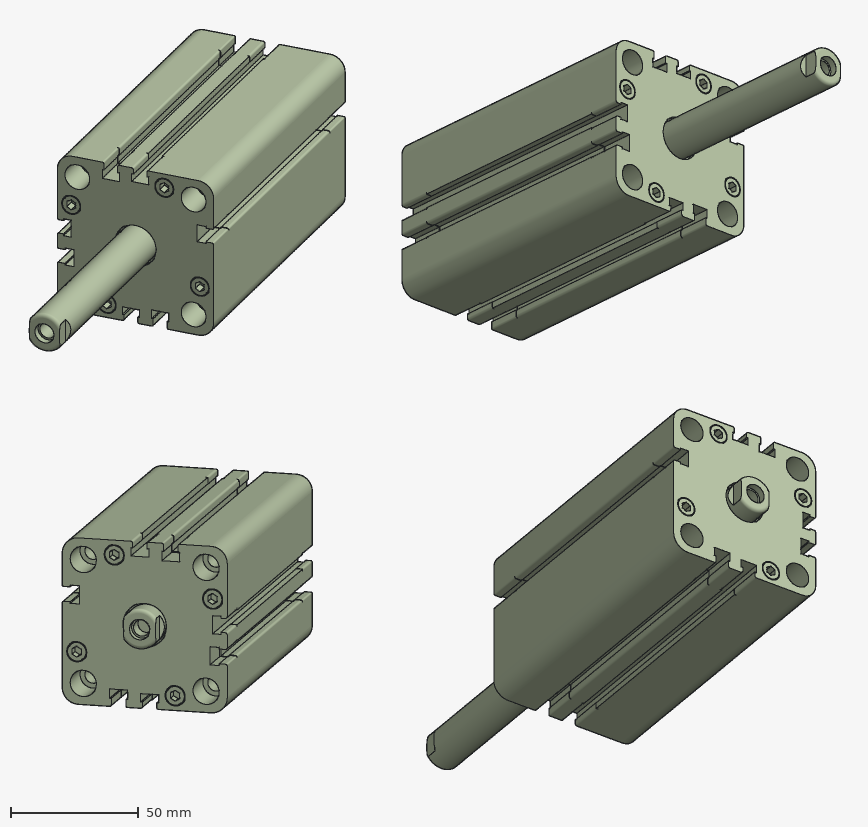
import cadquery as cq
import math

SIDE = 67.0
CORNER_RADIUS = 6.6
BODY_LENGTH = 126.0
CAP_LENGTH = 14.5
ROD_FRONT = 87.0
ROD_REAR = 7.5

ROD_DIAMETER = 16.0
ROD_END_RADIUS = 1.5
FLATS_WIDTH = 13.0
FLATS_LENGTH = 5.7
ROD_BORE_DIAMETER = 6.6
ROD_COUNTERBORE = 8.2
ROD_COUNTERBORE_DEPTH = 3.0
ROD_BORE_DEPTH = 17.6
DRILL_POINT_ANGLE = 118.0
BEARING_DIAMETER = 17.6
BEARING_DEPTH = 2.2

MOUNT_OFFSET = 25.0
MOUNT_DIAMETER = 6.6
MOUNT_COUNTERBORE = 10.5

SCREW_OFFSETS = (27.5, 12.3)
SCREW_RECESS_DIAMETER = 8.2
SCREW_HEAD_DIAMETER = 7.5
SCREW_GAP_DEPTH = 2.2
SCREW_HEX_WIDTH = 3.7
SCREW_HEX_DEPTH = 4.5

INNER_OFFSET = 2.0
INNER_DEPTH = 6.0
INNER_NECK_DEPTH = 2.6
OUTER_OFFSET = -10.5
SLOT_WIDTH = 7.3
INNER_CAP_SLOT = (INNER_OFFSET, 5.7, SLOT_WIDTH, INNER_DEPTH, INNER_NECK_DEPTH, 0.9)
INNER_TUBE_SLOT = (INNER_OFFSET, 6.0, SLOT_WIDTH, INNER_DEPTH, INNER_NECK_DEPTH, 0)
OUTER_CAP_SLOT = (OUTER_OFFSET, 6.0, SLOT_WIDTH, 7.0, 3.3, 0.7)
OUTER_TUBE_SLOT = (OUTER_OFFSET, 5.5, 6.8, 6.6, 3.0, 0.9)

HALF = SIDE / 2


def rod_along_y(diameter, start, end):
    """Solid cylinder on the Y axis between two Y positions."""
    return cq.Workplane("XZ", origin=(0, start, 0)).circle(diameter / 2).extrude(start - end)


def body_block():
    block = cq.Workplane("XZ").rect(SIDE, SIDE).extrude(-BODY_LENGTH)
    return block.edges("|Y").fillet(CORNER_RADIUS)


def rounded_mouth(half_neck, radius, offset, start, length):
    """Flare that rounds both lips where a slot neck meets the top face."""
    half_mouth = half_neck + radius
    arc_inset = radius * (1 - math.sqrt(0.5))
    return (
        cq.Workplane("XZ", origin=(offset, start, 0))
        .moveTo(-half_mouth, HALF)
        .threePointArc((-half_neck - arc_inset, HALF - arc_inset), (-half_neck, HALF - radius))
        .lineTo(half_neck, HALF - radius)
        .threePointArc((half_neck + arc_inset, HALF - arc_inset), (half_mouth, HALF))
        .close()
        .extrude(-length)
    )


def t_slot(slot, start, length, turn):
    """T-slot cutter for the top face, turned about Y to reach another side."""
    offset, neck_width, slot_width, depth, neck_depth, mouth_radius = slot
    half_neck = neck_width / 2
    half_slot = slot_width / 2
    neck_bottom = HALF - neck_depth
    floor = HALF - depth
    cutter = (
        cq.Workplane("XZ", origin=(offset, start, 0))
        .moveTo(-half_neck, HALF)
        .lineTo(-half_neck, neck_bottom)
        .lineTo(-half_slot, neck_bottom)
        .lineTo(-half_slot, floor)
        .lineTo(half_slot, floor)
        .lineTo(half_slot, neck_bottom)
        .lineTo(half_neck, neck_bottom)
        .lineTo(half_neck, HALF)
        .close()
        .extrude(-length)
    )
    if mouth_radius:
        cutter = cutter.union(rounded_mouth(half_neck, mouth_radius, offset, start, length))
    return cutter.rotate((0, 0, 0), (0, 1, 0), turn)


def cut_slots(body):
    slot_sets = [
        (OUTER_CAP_SLOT, OUTER_TUBE_SLOT, (0, 90, 180, 270)),
        (INNER_CAP_SLOT, INNER_TUBE_SLOT, (0, 180, 270)),
    ]
    rear_cap_start = BODY_LENGTH - CAP_LENGTH
    tube_length = BODY_LENGTH - 2 * CAP_LENGTH
    for cap_slot, tube_slot, turns in slot_sets:
        for turn in turns:
            body = body.cut(t_slot(cap_slot, 0, CAP_LENGTH, turn))
            body = body.cut(t_slot(tube_slot, CAP_LENGTH, tube_length, turn))
            body = body.cut(t_slot(cap_slot, rear_cap_start, CAP_LENGTH, turn))
    return body


def end_face(end):
    """Plane on the front or rear face; extruding by a negative length goes into the body."""
    if end == "front":
        return cq.Workplane(cq.Plane((0, 0, 0), (1, 0, 0), (0, -1, 0)))
    return cq.Workplane(cq.Plane((0, BODY_LENGTH, 0), (1, 0, 0), (0, 1, 0)))


def cut_mounting_holes(body):
    pitch = 2 * MOUNT_OFFSET
    body = body.cut(
        end_face("front").rect(pitch, pitch, forConstruction=True).vertices()
        .circle(MOUNT_DIAMETER / 2).extrude(-BODY_LENGTH)
    )
    for end in ("front", "rear"):
        body = body.cut(
            end_face(end).rect(pitch, pitch, forConstruction=True).vertices()
            .circle(MOUNT_COUNTERBORE / 2).extrude(-CAP_LENGTH)
        )
    return body


def cut_screws(body):
    """Screw heads sit flush in the caps, each inside a narrow ring and with a hex socket."""
    far, near = SCREW_OFFSETS
    points = [(near, far), (far, -near), (-near, -far), (-far, near)]
    hex_half_corner = SCREW_HEX_WIDTH / math.sqrt(3)
    corner_angles = [math.radians(60 * corner) for corner in range(6)]
    hexagon = [(hex_half_corner * math.sin(a), hex_half_corner * math.cos(a)) for a in corner_angles]
    for end in ("front", "rear"):
        up = 1 if end == "front" else -1
        for x, z in points:
            spot = end_face(end).center(x, z * up)
            rim = spot.circle(SCREW_RECESS_DIAMETER / 2).circle(SCREW_HEAD_DIAMETER / 2).extrude(-SCREW_GAP_DEPTH)
            socket = spot.polyline(hexagon).close().extrude(-SCREW_HEX_DEPTH)
            body = body.cut(rim).cut(socket)
    return body


def cut_bearing_rings(body):
    body = body.cut(rod_along_y(BEARING_DIAMETER, 0, BEARING_DEPTH))
    return body.cut(rod_along_y(BEARING_DIAMETER, BODY_LENGTH - BEARING_DEPTH, BODY_LENGTH))


def flat_cutter(tip, inward):
    """Material beside both wrench flats, with 45 degree run-outs.

    inward is the Y direction from the tip into the rod, +1 or -1.
    """
    half_flats = FLATS_WIDTH / 2
    outer = ROD_DIAMETER
    flat_end = tip + inward * FLATS_LENGTH
    run_out = outer - half_flats
    one_side = (
        cq.Workplane("XY", origin=(0, 0, -ROD_DIAMETER))
        .moveTo(half_flats, tip)
        .lineTo(half_flats, flat_end)
        .lineTo(outer, flat_end + inward * run_out)
        .lineTo(outer, tip)
        .close()
        .extrude(2 * ROD_DIAMETER)
    )
    return one_side.union(one_side.mirror("YZ"))


def bore_cutter(tip, inward):
    """Threaded-hole cutter with a counterbored mouth and a drill point."""
    radius = ROD_BORE_DIAMETER / 2
    counterbore = ROD_COUNTERBORE / 2
    point = radius / math.tan(math.radians(DRILL_POINT_ANGLE / 2))
    profile = [
        (0, 0),
        (counterbore, 0),
        (counterbore, ROD_COUNTERBORE_DEPTH),
        (radius, ROD_COUNTERBORE_DEPTH),
        (radius, ROD_BORE_DEPTH),
        (0, ROD_BORE_DEPTH + point),
    ]
    return (
        cq.Workplane("XY")
        .polyline([(r, tip + inward * depth) for r, depth in profile])
        .close()
        .revolve(360, (0, 0, 0), (0, 1, 0))
    )


def make_rod():
    front_tip = -ROD_FRONT
    rear_tip = BODY_LENGTH + ROD_REAR
    rod = rod_along_y(ROD_DIAMETER, front_tip, rear_tip)
    rod = rod.faces("<Y or >Y").fillet(ROD_END_RADIUS)
    for tip, inward in ((front_tip, 1), (rear_tip, -1)):
        rod = rod.cut(flat_cutter(tip, inward)).cut(bore_cutter(tip, inward))
    return rod


body = cut_slots(body_block())
body = cut_mounting_holes(body)
body = cut_screws(body)
body = cut_bearing_rings(body)
result = body.union(make_rod())